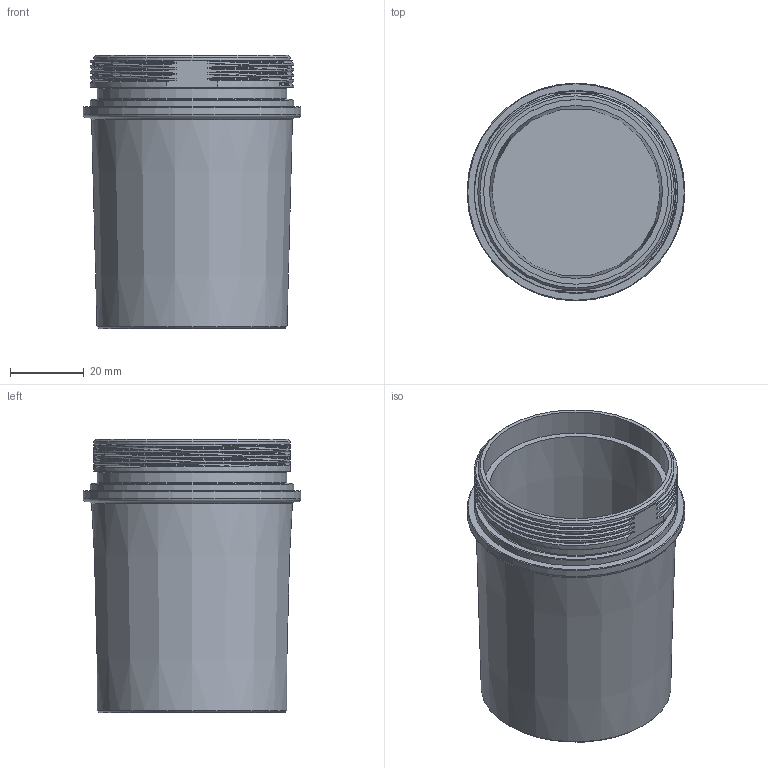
import cadquery as cq
import math

height = 74.0

base_radius = 25.7
base_edge = 0.5
draft_angle = 1.5

flange_radius = 29.5
flange_bottom = 57.1
flange_top = 60.1
flange_fillet = 0.9
blend_radius = 0.5

collar_radius = 27.5
collar_top = 62.1
neck_radius = 25.65

thread_radius = 27.5
thread_bottom = 65.2
thread_top = 72.65
rim_radius = 26.6
rim_chamfer = 0.6

edge_break = 0.2

thread_pitch = 1.5
thread_depth = 0.55
groove_root_width = 0.35
groove_flank_angle = 30.0
groove_start_height = 66.25
groove_start_angle = -30.0
cutter_overrun = 0.1

flat_distance = rim_radius

mouth_radius = 25.0
ledge_height = 67.0
cavity_top_radius = 23.4
cavity_floor_radius = 22.75
floor_thickness = 3.0


def body_radius(z):
    """Outer radius of the tapered body at height z."""
    return base_radius + z * math.tan(math.radians(draft_angle))


def make_shell_outside():
    """Solid of revolution for the whole outside, without thread detail."""
    blend_bottom = flange_bottom - blend_radius
    blend_end_radius = body_radius(blend_bottom)
    return (
        cq.Workplane("XZ")
        .moveTo(0, 0)
        .lineTo(base_radius - base_edge, 0)
        .lineTo(body_radius(base_edge), base_edge)
        .lineTo(blend_end_radius, blend_bottom)
        .lineTo(blend_end_radius + blend_radius, flange_bottom)
        .lineTo(flange_radius - flange_fillet, flange_bottom)
        .radiusArc((flange_radius, flange_bottom + flange_fillet), -flange_fillet)
        .lineTo(flange_radius, flange_top - edge_break)
        .lineTo(flange_radius - edge_break, flange_top)
        .lineTo(collar_radius, flange_top)
        .lineTo(collar_radius, collar_top - edge_break)
        .lineTo(collar_radius - edge_break, collar_top)
        .lineTo(neck_radius + edge_break, collar_top)
        .lineTo(neck_radius, collar_top + edge_break)
        .lineTo(neck_radius, thread_bottom - edge_break)
        .lineTo(neck_radius + edge_break, thread_bottom)
        .lineTo(thread_radius, thread_bottom)
        .lineTo(thread_radius, thread_top)
        .lineTo(rim_radius, thread_top)
        .lineTo(rim_radius, height - rim_chamfer)
        .lineTo(rim_radius - rim_chamfer, height)
        .lineTo(0, height)
        .close()
        .revolve(360, (0, 0, 0), (0, 1, 0))
    )


def make_cavity():
    """Stepped interior, open at the top."""
    return (
        cq.Workplane("XZ")
        .moveTo(0, floor_thickness)
        .lineTo(cavity_floor_radius, floor_thickness)
        .lineTo(cavity_top_radius, ledge_height)
        .lineTo(mouth_radius, ledge_height)
        .lineTo(mouth_radius, height)
        .lineTo(0, height)
        .close()
        .revolve(360, (0, 0, 0), (0, 1, 0))
    )


def make_thread_groove():
    """Helical flat-rooted groove that runs out through the top of the threaded band."""
    root_radius = thread_radius - thread_depth
    outer_radius = thread_radius + cutter_overrun
    root_half_width = groove_root_width / 2
    flank_rise = (outer_radius - root_radius) * math.tan(math.radians(groove_flank_angle))
    outer_half_width = root_half_width + flank_rise
    groove_height = thread_top + thread_pitch - groove_start_height
    path = cq.Wire.makeHelix(thread_pitch, groove_height, root_radius)
    groove = (
        cq.Workplane("XZ")
        .moveTo(root_radius, -root_half_width)
        .lineTo(root_radius, root_half_width)
        .lineTo(outer_radius, outer_half_width)
        .lineTo(outer_radius, -outer_half_width)
        .close()
        .sweep(cq.Workplane(obj=path), isFrenet=True)
    )
    return groove.rotate((0, 0, 0), (0, 0, 1), groove_start_angle).translate((0, 0, groove_start_height))


def make_flat(side):
    """Block that trims the threaded band flat on the +Y (1) or -Y (-1) side."""
    depth = thread_radius
    return (
        cq.Workplane("XY")
        .workplane(offset=thread_bottom)
        .center(0, side * (flat_distance + depth / 2))
        .rect(2 * thread_radius, depth)
        .extrude(thread_top - thread_bottom)
    )


def edges_at_height(z, reach):
    """Selector for edges centred at height z, within reach of the axis in X and Y."""
    margin = edge_break / 2
    return cq.selectors.BoxSelector((-reach, -reach, z - margin), (reach, reach, z + margin))


def break_thread_lower_edge(body):
    """Chamfer the outer lower edge of the threaded band, across its flats too."""
    all_edges = edges_at_height(thread_bottom, thread_radius)
    neck_edge = edges_at_height(thread_bottom, neck_radius / 2)
    return body.edges(all_edges - neck_edge).chamfer(edge_break)


body = make_shell_outside().cut(make_thread_groove())
for side in (-1, 1):
    body = body.cut(make_flat(side))
body = break_thread_lower_edge(body)
result = body.cut(make_cavity())